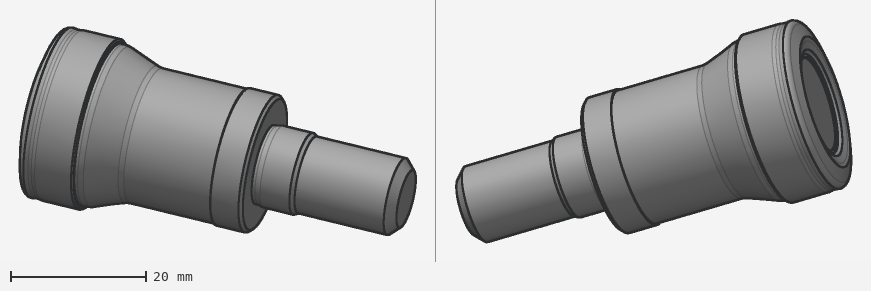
import cadquery as cq

overall_length = 57.0

ring_diameter = 26.0
ring_radius = ring_diameter / 2
ring_length = 9.3
ring_back_chamfer = 0.3
crown_radius = 10.1
shoulder_x = 0.7
shoulder_radius = 12.2
rim_x = 1.55
edge_mid_x = 1.0
edge_mid_radius = 12.75
groove_depth = 0.1
groove_floor_start_x = 2.2
groove_floor_end_x = 2.75
groove_end_x = 3.3
dish_radius = 9.4
dish_x = 0.15
funnel_radius = 8.2
funnel_x = 0.5
throat_radius = 7.65
throat_x = 0.95
lip_radius = 7.25
lip_x = 1.1
bore_radius = 7.1
nose_x = 1.25

flare_radius = 24.75 / 2
flare_start_x = 10.25
flare_end_x = 15.9
flare_blend = 2.45
edge_tolerance = 0.05
grip_radius = 20.6 / 2
collar_radius = 21.0 / 2
collar_start_x = 29.9
collar_end_x = 34.9
collar_chamfer = 0.5
neck_radius = 6.05
neck_end_x = 35.4
seat_radius = 12.5 / 2
seat_start_x = 36.25
seat_end_x = 40.85
shaft_radius = 11.75 / 2
shaft_start_x = 41.55
tip_chamfer = 1.5


def revolve_about_x(profile):
    return profile.close().revolve(360, (0, 0, 0), (1, 0, 0))


def make_ring():
    groove_radius = ring_radius - groove_depth
    profile = (
        cq.Workplane("XY")
        .moveTo(nose_x, bore_radius)
        .lineTo(lip_x, lip_radius)
        .lineTo(throat_x, throat_radius)
        .lineTo(funnel_x, funnel_radius)
        .lineTo(dish_x, dish_radius)
        .lineTo(0, crown_radius)
        .lineTo(shoulder_x, shoulder_radius)
        .threePointArc((edge_mid_x, edge_mid_radius), (rim_x, ring_radius))
        .lineTo(groove_floor_start_x, groove_radius)
        .lineTo(groove_floor_end_x, groove_radius)
        .lineTo(groove_end_x, ring_radius)
        .lineTo(ring_length - ring_back_chamfer, ring_radius)
        .lineTo(ring_length, ring_radius - ring_back_chamfer)
        .lineTo(ring_length, bore_radius)
    )
    return revolve_about_x(profile)


def make_handle():
    profile = cq.Workplane("XY").polyline([
        (nose_x, 0),
        (nose_x, bore_radius),
        (ring_length, bore_radius),
        (ring_length, flare_radius),
        (flare_start_x, flare_radius),
        (flare_end_x, grip_radius),
        (collar_start_x, grip_radius),
        (collar_start_x, collar_radius),
        (collar_end_x - collar_chamfer, collar_radius),
        (collar_end_x, collar_radius - collar_chamfer),
        (collar_end_x, neck_radius),
        (neck_end_x, neck_radius),
        (seat_start_x, seat_radius),
        (seat_end_x, seat_radius),
        (shaft_start_x, shaft_radius),
        (overall_length - tip_chamfer, shaft_radius),
        (overall_length, shaft_radius - tip_chamfer),
        (overall_length, 0),
    ])
    handle = revolve_about_x(profile)
    flare_corners = handle.edges("%CIRCLE").filter(
        lambda edge: flare_start_x - edge_tolerance
        < edge.Center().x
        < flare_end_x + edge_tolerance
    )
    return flare_corners.fillet(flare_blend)


ring = make_ring()
handle = make_handle()
result = cq.Compound.makeCompound([ring.val(), handle.val()])